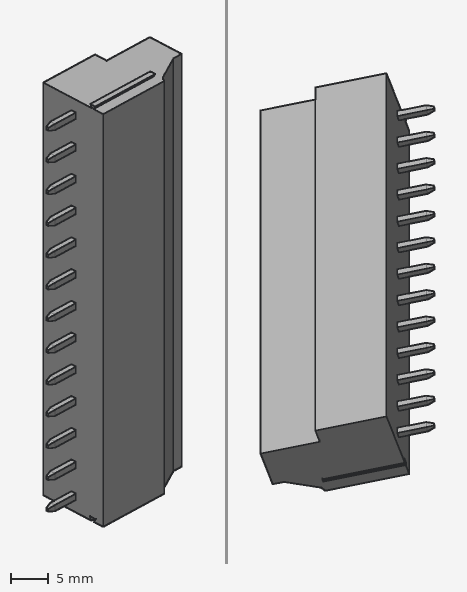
import cadquery as cq

overall_height = 65.5
pole_count = 13
rib_height = 0.5
body_height = overall_height - rib_height
pitch = body_height / pole_count

body_width = 11.2
body_depth = 18.0
step_width = 2.15
step_depth = 9.8
crown_right = 8.1
crown_drop = 1.6
slope_right = 10.5
slope_drop = 6.0
shoulder_drop = 6.4

rib_center = 9.25
rib_base_width = 0.3
rib_tip_width = 0.9
rib_length = 11.4
groove_clearance = 0.05

pin_center = 5.7
pin_width = 0.85
pin_thickness = 1.0
pin_length = 5.0
tip_length = 1.0
tip_width = 0.4
tip_thickness = 0.45


def make_body():
    return (
        cq.Workplane("XY")
        .moveTo(0, 0)
        .lineTo(body_width, 0)
        .lineTo(body_width, body_depth - shoulder_drop)
        .lineTo(slope_right, body_depth - slope_drop)
        .lineTo(crown_right, body_depth - crown_drop)
        .lineTo(crown_right, body_depth)
        .lineTo(step_width, body_depth)
        .lineTo(step_width, step_depth)
        .lineTo(0, step_depth)
        .close()
        .extrude(body_height)
    )


def make_dovetail(base_z, clearance):
    """Dovetail bar along Y, narrow at base_z and widening upward."""
    base_half = rib_base_width / 2 + clearance
    tip_half = rib_tip_width / 2 + clearance
    tip_z = base_z + rib_height + clearance
    return (
        cq.Workplane("XZ")
        .moveTo(rib_center - base_half, base_z)
        .lineTo(rib_center + base_half, base_z)
        .lineTo(rib_center + tip_half, tip_z)
        .lineTo(rib_center - tip_half, tip_z)
        .close()
        .extrude(-rib_length)
    )


def make_pin(pole):
    pin_z = (pole + 0.5) * pitch
    shank_length = pin_length - tip_length
    shank = (
        cq.Workplane("XZ")
        .center(pin_center, pin_z)
        .rect(pin_width, pin_thickness)
        .extrude(shank_length)
    )
    tip = (
        cq.Workplane("XZ", origin=(0, -shank_length, 0))
        .center(pin_center, pin_z)
        .rect(pin_width, pin_thickness)
        .workplane(offset=tip_length)
        .rect(tip_width, tip_thickness)
        .loft(ruled=True)
    )
    return shank.union(tip)


result = make_body()
result = result.union(make_dovetail(body_height, 0))
result = result.cut(make_dovetail(0, groove_clearance))
for pole in range(pole_count):
    result = result.union(make_pin(pole))